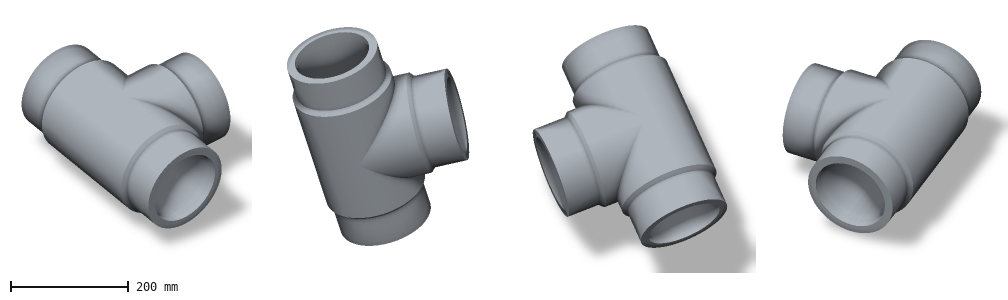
import cadquery as cq

run_length = 346.0
branch_reach = run_length / 2
body_diameter = 174.7
spigot_diameter = 160.0
bore_diameter = 130.8
spigot_length = 57.5

shoulder_length = (body_diameter - spigot_diameter) / 2


def arm_outside(direction):
    """Solid arm from the tee centre: body, sloped shoulder and spigot."""
    body_end = branch_reach - spigot_length
    centre = cq.Vector(0, 0, 0)
    body = cq.Solid.makeCylinder(body_diameter / 2, body_end, centre, direction)
    body = cq.Workplane(obj=body)
    end_face = cq.selectors.DirectionMinMaxSelector(direction, True)
    body = body.faces(end_face).chamfer(shoulder_length)
    spigot = cq.Solid.makeCylinder(spigot_diameter / 2, branch_reach, centre, direction)
    return body.union(cq.Workplane(obj=spigot))


def bore(start, direction, length):
    """Round passage running from a start point along a direction."""
    return cq.Workplane(obj=cq.Solid.makeCylinder(bore_diameter / 2, length, start, direction))


along_run = cq.Vector(1, 0, 0)
along_branch = cq.Vector(0, 1, 0)

outside = arm_outside(along_run).union(arm_outside(-along_run))
outside = outside.union(arm_outside(along_branch))

run_bore = bore(cq.Vector(-run_length / 2, 0, 0), along_run, run_length)
branch_bore = bore(cq.Vector(0, 0, 0), along_branch, branch_reach)

result = outside.cut(run_bore).cut(branch_bore).clean()